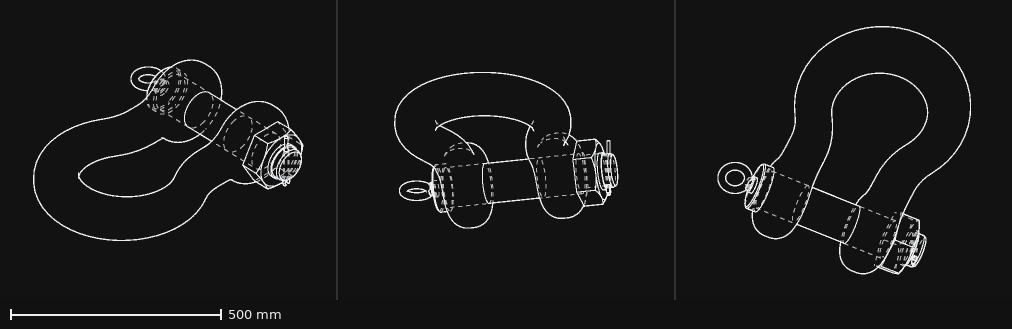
import cadquery as cq
import math


overall_length = 633.5
pin_diameter = 95.5
pin_radius = pin_diameter / 2

jaw_gap = 133.0
rod_width = 95.5
rod_half_thickness = 46.0
bow_edge_radius = 42.5
eye_diameter = 203.5
eye_radius = eye_diameter / 2
neck_blend_radius = 56.0
inner_bow_radius = 114.0
inner_bow_y = -305.5
inner_bend_start_y = -139.0
outer_bow_radius = 209.5
outer_bow_y = eye_radius + outer_bow_radius - overall_length
outer_bend_start_y = -150.0

head_radius = 57.0
head_thickness = 26.0
head_chamfer = 3.0
nut_sides = 6
nut_half_flats = 68.0
nut_thickness = 51.0
nut_chamfer_angle = 30.0
thread_radius = 44.5
thread_length = 9.5
tip_radius = 40.5
tip_length = 21.5
tip_chamfer_length = 6.5
tip_chamfer_depth = 3.0

ring_radius = 31.5
ring_wire_radius = 9.5
collar_radius = 19.5
collar_length = 11.0
collar_chamfer = 2.5
flare_length = 7.5
flare_small_radius = 14.0
ring_reach = 50.0

cotter_radius = 3.9
cotter_hole_radius = 6.5
cotter_top_z = 78.0
cotter_bend_z = -37.0
cotter_out_bend_radius = 13.0
cotter_in_bend_radius = 9.5
cotter_bend_angle = 45.0

jaw_half = jaw_gap / 2
eye_outer_x = jaw_half + rod_width
head_x = -eye_outer_x - head_thickness
nut_end_x = eye_outer_x + nut_thickness
thread_end_x = nut_end_x + thread_length
tip_end_x = thread_end_x + tip_length
tip_chamfer_x = tip_end_x - tip_chamfer_length
cotter_x = (thread_end_x + tip_chamfer_x) / 2

blend_centre_z = rod_half_thickness + neck_blend_radius
blend_end_y = -math.sqrt((eye_radius + neck_blend_radius) ** 2 - blend_centre_z**2)


def bend_radius(start_x, start_y, bow_y, bow_radius):
    """Radius of the bend tangent to the straight side and to the bow circle."""
    drop = start_y - bow_y
    return (start_x**2 + drop**2 - bow_radius**2) / (2 * (bow_radius - start_x))


def bend_points(start_x, start_y, bow_y, bow_radius):
    """Middle and end of the bend on the +X side, from the straight side to the bow circle."""
    radius = bend_radius(start_x, start_y, bow_y, bow_radius)
    centre_x = start_x + radius
    turn = math.atan2(start_y - bow_y, centre_x)
    points = []
    for angle in (turn / 2, turn):
        points.append((centre_x - radius * math.cos(angle), start_y - radius * math.sin(angle)))
    return points


def mirrored(point):
    return (-point[0], point[1])


def bow_rod():
    """The bent rod below the necks, with all its long edges rounded."""
    outer_mid, outer_end = bend_points(eye_outer_x, outer_bend_start_y, outer_bow_y, outer_bow_radius)
    inner_mid, inner_end = bend_points(jaw_half, inner_bend_start_y, inner_bow_y, inner_bow_radius)
    rod = (
        cq.Workplane("XY", origin=(0, 0, -rod_half_thickness))
        .moveTo(eye_outer_x, blend_end_y)
        .lineTo(eye_outer_x, outer_bend_start_y)
        .threePointArc(outer_mid, outer_end)
        .threePointArc((0, outer_bow_y - outer_bow_radius), mirrored(outer_end))
        .threePointArc(mirrored(outer_mid), (-eye_outer_x, outer_bend_start_y))
        .lineTo(-eye_outer_x, blend_end_y)
        .lineTo(-jaw_half, blend_end_y)
        .lineTo(-jaw_half, inner_bend_start_y)
        .threePointArc(mirrored(inner_mid), mirrored(inner_end))
        .threePointArc((0, inner_bow_y - inner_bow_radius), inner_end)
        .threePointArc(inner_mid, (jaw_half, inner_bend_start_y))
        .lineTo(jaw_half, blend_end_y)
        .close()
        .extrude(2 * rod_half_thickness)
    )
    return rod.faces("<Z or >Z").edges("not |X").fillet(bow_edge_radius)


def eye_with_neck(start_x):
    """A rounded disc around the bolt axis whose flared neck runs into the rod."""
    reach = eye_radius / (eye_radius + neck_blend_radius)
    eye_y = blend_end_y * reach
    eye_z = blend_centre_z * reach
    half_angle = math.atan2(-blend_end_y, blend_centre_z) / 2
    mid_y = blend_end_y + neck_blend_radius * math.sin(half_angle)
    mid_z = blend_centre_z - neck_blend_radius * math.cos(half_angle)
    blank = (
        cq.Workplane("YZ", origin=(start_x, 0, 0))
        .moveTo(blend_end_y, -rod_half_thickness)
        .threePointArc((mid_y, -mid_z), (eye_y, -eye_z))
        .threePointArc((eye_radius, 0), (eye_y, eye_z))
        .threePointArc((mid_y, mid_z), (blend_end_y, rod_half_thickness))
        .close()
        .extrude(rod_width)
    )
    return blank.edges("%CIRCLE").fillet(bow_edge_radius)


def make_bow():
    bow = bow_rod()
    for start_x in (-eye_outer_x, jaw_half):
        bow = bow.union(eye_with_neck(start_x))
    bore = cq.Workplane("YZ", origin=(-eye_outer_x, 0, 0)).circle(pin_radius).extrude(2 * eye_outer_x)
    return bow.cut(bore)


def bolt_shaft():
    """Head, shank, thread and tip, turned about the X axis."""
    return (
        cq.Workplane("XY")
        .moveTo(head_x, 0)
        .lineTo(head_x, head_radius - head_chamfer)
        .lineTo(head_x + head_chamfer, head_radius)
        .lineTo(-eye_outer_x, head_radius)
        .lineTo(-eye_outer_x, pin_radius)
        .lineTo(eye_outer_x, pin_radius)
        .lineTo(eye_outer_x, thread_radius)
        .lineTo(thread_end_x, thread_radius)
        .lineTo(thread_end_x, tip_radius)
        .lineTo(tip_chamfer_x, tip_radius)
        .lineTo(tip_end_x, tip_radius - tip_chamfer_depth)
        .lineTo(tip_end_x, 0)
        .close()
        .revolve(360, (0, 0, 0), (1, 0, 0))
    )


def nut():
    """Hexagon with corners toward +Y and -Y, its outer corners cut by a cone."""
    corner_radius = nut_half_flats / math.cos(math.pi / nut_sides)
    hexagon = (
        cq.Workplane("YZ", origin=(eye_outer_x, 0, 0))
        .polygon(nut_sides, 2 * corner_radius)
        .extrude(nut_thickness)
    )
    slope = math.tan(math.radians(nut_chamfer_angle))
    cone_radius = nut_half_flats + nut_thickness / slope
    cone = (
        cq.Workplane("XY")
        .moveTo(eye_outer_x, 0)
        .lineTo(eye_outer_x, cone_radius)
        .lineTo(nut_end_x, nut_half_flats)
        .lineTo(nut_end_x, 0)
        .close()
        .revolve(360, (0, 0, 0), (1, 0, 0))
    )
    return hexagon.intersect(cone)


def lifting_eye():
    """Horizontal ring on a flared foot and a round collar, standing on the bolt head."""
    ring_x = head_x - ring_reach
    ring = cq.Workplane(cq.Solid.makeTorus(ring_radius, ring_wire_radius, cq.Vector(ring_x, 0, 0)))
    collar_x = head_x - collar_length
    foot = (
        cq.Workplane("XY")
        .moveTo(collar_x - flare_length, 0)
        .lineTo(collar_x - flare_length, flare_small_radius)
        .lineTo(collar_x, collar_radius - collar_chamfer)
        .lineTo(collar_x + collar_chamfer, collar_radius)
        .lineTo(head_x, collar_radius)
        .lineTo(head_x, 0)
        .close()
        .revolve(360, (0, 0, 0), (1, 0, 0))
    )
    return ring.union(foot)


def make_bolt():
    bolt = bolt_shaft().union(nut()).union(lifting_eye())
    cotter_hole = (
        cq.Workplane("XY", origin=(cotter_x, 0, -tip_radius))
        .circle(cotter_hole_radius)
        .extrude(2 * tip_radius)
    )
    return bolt.cut(cotter_hole)


def cotter_leg():
    """Half-round leg on the -Y side that bends outward and then back inward."""

    def bend(radius, angle):
        """Sideways and downward travel of a bend that leaves the vertical by angle."""
        return radius * (1 - math.cos(angle)), radius * math.sin(angle)

    turn = math.radians(cotter_bend_angle)
    out_mid_y, out_mid_z = bend(cotter_out_bend_radius, turn / 2)
    out_y, out_z = bend(cotter_out_bend_radius, turn)
    back_y, back_z = bend(cotter_in_bend_radius, turn)
    path = (
        cq.Workplane("YZ", origin=(cotter_x, 0, 0))
        .moveTo(0, cotter_bend_z)
        .threePointArc((-out_mid_y, cotter_bend_z - out_mid_z), (-out_y, cotter_bend_z - out_z))
        .threePointArc(
            (-out_y - back_y, cotter_bend_z - out_z - back_z),
            (-out_y, cotter_bend_z - out_z - 2 * back_z),
        )
    )
    return (
        cq.Workplane("XY", origin=(cotter_x, 0, cotter_bend_z))
        .moveTo(cotter_radius, 0)
        .threePointArc((0, -cotter_radius), (-cotter_radius, 0))
        .close()
        .sweep(path)
    )


def make_cotter():
    leg = cotter_leg()
    stem = (
        cq.Workplane("XY", origin=(cotter_x, 0, cotter_bend_z))
        .circle(cotter_radius)
        .extrude(cotter_top_z - cotter_bend_z)
    )
    return stem.union(leg).union(leg.mirror("XZ"))


bow = make_bow()
bolt = make_bolt()
cotter = make_cotter()

result = cq.Compound.makeCompound([bow.solids().val(), bolt.solids().val(), cotter.solids().val()])